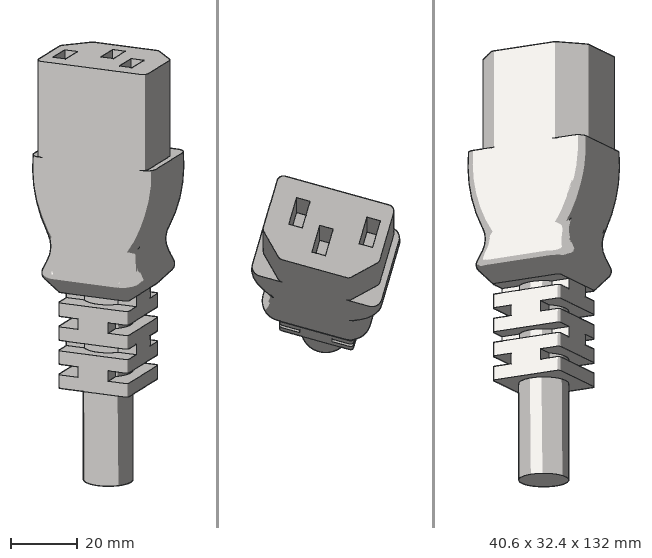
import cadquery as cq
import math


RELIEF_BOTTOM = 30.0
RELIEF_TOP = 60.0
NECK_Z = 74.0
COLLAR_TOP = 102.0
PLUG_TOP = 132.0

CABLE_RADIUS = 7.5

CORE_X = 21.1
CORE_Y = 20.0
RELIEF_OFFSET = 1.0
SLOT_COUNT = 4
SLOT_HEIGHT = 3.25
WEB_WIDTH = 10.0
SLOT_PITCH = (RELIEF_TOP - RELIEF_BOTTOM) / SLOT_COUNT

FLARE_RISE = 5.6
FLARE_OFFSET = RELIEF_OFFSET + FLARE_RISE
FLARE_EDGE_RADIUS = 2.0
NECK_OFFSET = 2.5
NECK_RADIUS = 9.5

BODY_Y = CORE_Y + 2 * NECK_OFFSET
BELLY_X = 40.6
BELLY_Z = 98.0
BELLY_RADIUS = 43.0
BODY_CORNER_RADIUS = 3.0
BODY_OVERLAP = 4.0

EDGE_BAND = 0.5

PLUG_X = 36.3
PLUG_CHAMFER = 7.3
PLUG_CORNER_RADIUS = 2.0

CONTACT_X = 4.2
CONTACT_Y = 8.5
CONTACT_DEPTH = 20.0
CONTACT_CENTRES = [(-12.9, -2.8), (0.0, 3.5), (9.0, -2.8)]


def block(size_x, size_y, bottom, top):
    """Rectangular block centred on the Z axis."""
    return cq.Workplane("XY").workplane(offset=bottom).rect(size_x, size_y).extrude(top - bottom)


def edges_near(z):
    """Selector for edges whose centre lies close to height z, anywhere in X and Y."""
    reach = BELLY_X
    return cq.selectors.BoxSelector(
        (-reach, -reach, z - EDGE_BAND),
        (reach, reach, z + EDGE_BAND),
    )


def core_section(offset):
    """Sketch of the core rectangle grown outward by offset."""
    return cq.Sketch().rect(CORE_X + 2 * offset, CORE_Y + 2 * offset).vertices().fillet(offset)


def core_loft(z_low, offset_low, z_high, offset_high):
    """Straight-sided solid between two grown core rectangles."""
    high_section = core_section(offset_high).moved(cq.Location(cq.Vector(0, 0, z_high - z_low)))
    return (
        cq.Workplane("XY")
        .workplane(offset=z_low)
        .placeSketch(core_section(offset_low), high_section)
        .loft(ruled=True)
    )


def make_cable():
    """Round cable running up through the strain relief."""
    return cq.Workplane("XY").circle(CABLE_RADIUS).extrude(RELIEF_TOP)


def make_relief():
    """Rounded block with slots that leave a web along X and along Y by turns."""
    relief = core_loft(RELIEF_BOTTOM, RELIEF_OFFSET, RELIEF_TOP, RELIEF_OFFSET)
    long_side = 2 * CORE_X
    for index in range(SLOT_COUNT):
        top = RELIEF_TOP - index * SLOT_PITCH
        bottom = top - SLOT_HEIGHT
        if index % 2 == 0:
            web = block(long_side, WEB_WIDTH, bottom, top)
        else:
            web = block(WEB_WIDTH, long_side, bottom, top)
        relief = relief.cut(block(long_side, long_side, bottom, top).cut(web))
    return relief


def make_flare():
    """Skirt from the relief to the neck, reaching on up into the body."""
    peak_z = RELIEF_TOP + FLARE_RISE
    inward_slope = (FLARE_OFFSET - NECK_OFFSET) / (NECK_Z - peak_z)
    inner_offset = NECK_OFFSET / 2
    inner_z = NECK_Z + (NECK_OFFSET - inner_offset) / inward_slope
    lower = core_loft(RELIEF_TOP, RELIEF_OFFSET, peak_z, FLARE_OFFSET)
    upper = core_loft(peak_z, FLARE_OFFSET, inner_z, inner_offset)
    return lower.union(upper).edges(edges_near(peak_z)).fillet(FLARE_EDGE_RADIUS)


def body_half_width(z):
    """Distance from the Z axis to the arc side of the body at height z."""
    drop = BELLY_RADIUS - math.sqrt(BELLY_RADIUS**2 - (z - BELLY_Z) ** 2)
    return BELLY_X / 2 - drop


def make_body():
    """Grip body with arc sides, overlapping the flare below the neck."""
    bottom = NECK_Z - BODY_OVERLAP
    low_x = body_half_width(bottom)
    top_x = body_half_width(COLLAR_TOP)
    belly_x = BELLY_X / 2
    return (
        cq.Workplane("XZ")
        .moveTo(-low_x, bottom)
        .lineTo(low_x, bottom)
        .threePointArc((belly_x, BELLY_Z), (top_x, COLLAR_TOP))
        .lineTo(-top_x, COLLAR_TOP)
        .threePointArc((-belly_x, BELLY_Z), (-low_x, bottom))
        .close()
        .extrude(BODY_Y / 2, both=True)
        .edges("not (|X or |Y)")
        .fillet(BODY_CORNER_RADIUS)
    )


def make_plug():
    """Plug block with its two +Y corners cut at 45 degrees."""
    half_x = PLUG_X / 2
    half_y = BODY_Y / 2
    outline = [
        (-half_x, -half_y),
        (half_x, -half_y),
        (half_x, half_y - PLUG_CHAMFER),
        (half_x - PLUG_CHAMFER, half_y),
        (-half_x + PLUG_CHAMFER, half_y),
        (-half_x, half_y - PLUG_CHAMFER),
    ]
    return (
        cq.Workplane("XY")
        .workplane(offset=COLLAR_TOP)
        .polyline(outline)
        .close()
        .extrude(PLUG_TOP - COLLAR_TOP)
        .edges("|Z")
        .fillet(PLUG_CORNER_RADIUS)
    )


def make_contacts():
    """Blind rectangular pockets for the three pins."""
    return (
        cq.Workplane("XY")
        .workplane(offset=PLUG_TOP - CONTACT_DEPTH)
        .pushPoints(CONTACT_CENTRES)
        .rect(CONTACT_X, CONTACT_Y)
        .extrude(CONTACT_DEPTH)
    )


def join_at_neck(flare, body):
    """Union of flare and body with the crease between them rounded."""
    return flare.union(body).edges(edges_near(NECK_Z)).fillet(NECK_RADIUS)


housing = join_at_neck(make_flare(), make_body())
tail = make_relief().union(make_cable())
plug = make_plug().cut(make_contacts())

result = housing.union(tail).union(plug, clean=False)